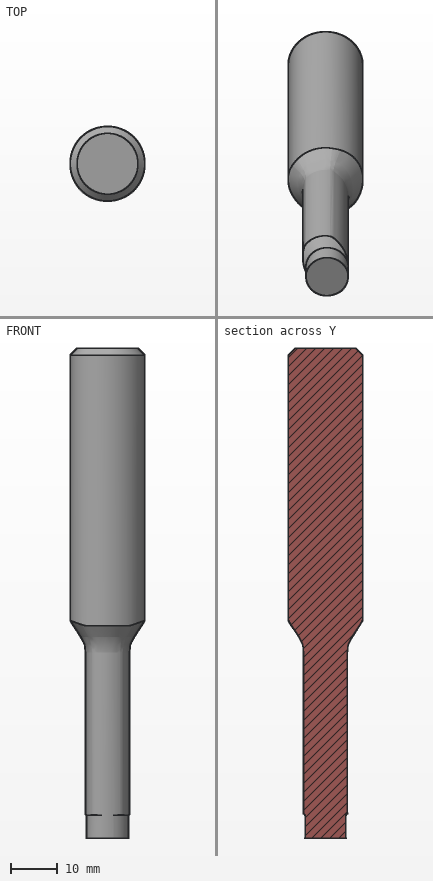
import cadquery as cq
import math

overall_length = 104.7
shank_radius = 8.0
shank_chamfer = 1.5

neck_radius = 5.48
neck_half_width = 4.74
side_arc_radius = 6.98
neck_corner_radius = 2.0

flare_start_z = 41.5
flare_angle = 33.0
flare_fillet_radius = 6.0
flare_overrun = 0.5

tip_radius = 4.52
tip_offset = 0.995
tip_length = 4.95
tip_cone_angle = 45.0

selection_margin = 0.01


def bar(radius, z_bottom, z_top):
    """Round bar along Z, centred on the axis of the part."""
    return cq.Workplane("XY").workplane(offset=z_bottom).circle(radius).extrude(z_top - z_bottom)


def make_neck_outline_bar(length):
    """Straight bar with the neck section, rounded where the flattened sides meet the round."""
    neck = bar(neck_radius, 0, length)
    side_centre = side_arc_radius - neck_half_width
    for direction in (-1, 1):
        side_cylinder = cq.Workplane("XY").center(direction * side_centre, 0).circle(side_arc_radius)
        neck = neck.intersect(side_cylinder.extrude(length))
    return neck.edges("|Z").fillet(neck_corner_radius)


def make_flare(neck):
    """Neck section that widens steadily upward, with the height of its top."""
    height = (shank_radius + flare_overrun - neck_half_width) / math.tan(math.radians(flare_angle))
    flare = neck.faces(">Z").wires().toPending().extrude(height, taper=-flare_angle, combine=False)
    return flare, flare_start_z + height


def make_body():
    """Neck, filleted flare and chamfered shank in one solid."""
    neck = make_neck_outline_bar(flare_start_z)
    flare, flare_top_z = make_flare(neck)
    stem = neck.union(flare)
    root_edges = cq.selectors.BoxSelector(
        (-shank_radius, -shank_radius, flare_start_z - selection_margin),
        (shank_radius, shank_radius, flare_start_z + selection_margin),
    )
    stem = stem.edges(root_edges).fillet(flare_fillet_radius)
    stem = stem.intersect(bar(shank_radius, 0, flare_top_z))
    shank = bar(shank_radius, flare_top_z, overall_length).faces(">Z").chamfer(shank_chamfer)
    return stem.union(shank)


def make_tip_envelope():
    """Tip cylinder that opens out as a cone above the tip."""
    cone_spread = 2 * neck_radius
    cone_height = cone_spread / math.tan(math.radians(tip_cone_angle))
    cone_top_radius = tip_radius + cone_spread
    profile = [
        (0, 0),
        (tip_radius, 0),
        (tip_radius, tip_length),
        (cone_top_radius, tip_length + cone_height),
        (cone_top_radius, overall_length),
        (0, overall_length),
    ]
    envelope = cq.Workplane("XZ").polyline(profile).close().revolve(360, (0, 0, 0), (0, 1, 0))
    return envelope.translate((0, -tip_offset, 0))


result = make_body().intersect(make_tip_envelope())